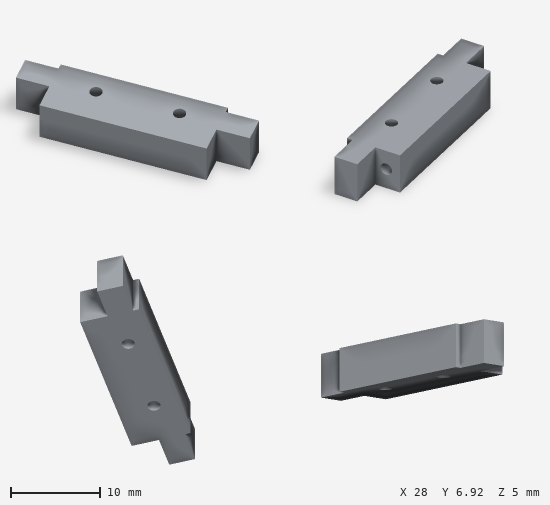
import cadquery as cq
import math

body_length = 20.0
body_width = 6.92
height = 5.0

tongue_length = 4.0
tongue_width = 3.0
tongue_setback = 0.71
total_length = body_length + 2 * tongue_length

hole_diameter = 1.5
hole_pitch = 10.0
hole_pair_shift = 0.22
hole_from_back = 2.72

end_hole_from_front = 1.79
end_hole_depth = 5.0
end_hole_z = 0.05
cone_angle = 118.0
cone_height = hole_diameter / 2 / math.tan(math.radians(cone_angle / 2))

front_y = -body_width / 2
back_y = body_width / 2


def make_blank():
    body = cq.Workplane("XY").box(body_length, body_width, height)
    tongue_y = back_y - tongue_setback - tongue_width / 2
    tongues = cq.Workplane("XY").box(total_length, tongue_width, height).translate((0, tongue_y, 0))
    return body.union(tongues)


def make_through_holes():
    hole_y = back_y - hole_from_back
    centers = [(hole_pair_shift + side * hole_pitch / 2, hole_y) for side in (-1, 1)]
    return (
        cq.Workplane("XY").workplane(offset=-height / 2)
        .pushPoints(centers).circle(hole_diameter / 2).extrude(height)
    )


def make_end_hole():
    radius = hole_diameter / 2
    start_x = -body_length / 2
    axis_y = front_y + end_hole_from_front
    bottom_x = start_x + end_hole_depth
    profile = (
        cq.Workplane("XY").workplane(offset=end_hole_z)
        .moveTo(start_x, axis_y)
        .lineTo(start_x, axis_y + radius)
        .lineTo(bottom_x, axis_y + radius)
        .lineTo(bottom_x - cone_height, axis_y)
        .close()
    )
    return profile.revolve(360, (start_x, axis_y, 0), (bottom_x, axis_y, 0))


result = make_blank().cut(make_through_holes()).cut(make_end_hole())